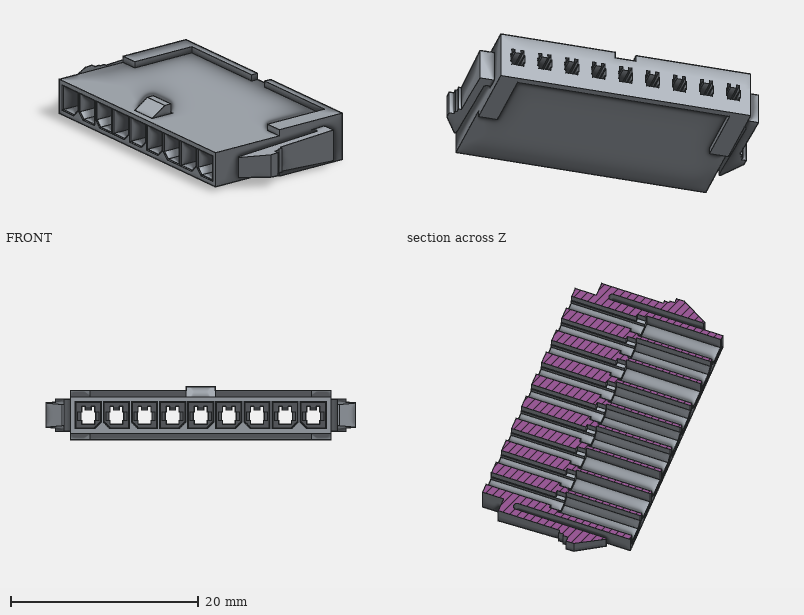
import cadquery as cq
import math


body_width = 27.8
body_length = 16.9
body_height = 3.9
front_y = -body_length / 2
rear_y = body_length / 2

rim_height = 0.7
rim_length = 8.4
rim_arm_width = 2.1
rim_back_thickness = 0.8
rim_gap_width = 2.3

tab_width = 3.1
tab_height = 1.1
tab_front_setback = 0.8
tab_rear_setback = 3.3
tab_flat_length = 0.8
tab_root_radius = 0.3

cavity_pitch = 3.0
cavity_width = 2.6
cavity_height = 2.7
cavity_depth = body_length - rim_length
key_bevel = 0.66
lead_in = 0.1
lead_in_angle = 45
key_sides = (1, -1, -1, 1, 1, 1, -1, 1, -1)

window_width = 1.35
window_height = 1.9
side_slot_width = 1.55
side_recess_width = 2.25
side_slot_height = 0.9
side_slot_center_z = -0.1
side_recess_depth = 1.0
tongue_width = 0.65
tongue_front_drop = 0.2
tongue_rear_drop = 0.4
tongue_step_depth = 1.0

arm_gap = 0.7
arm_outer = 1.6
arm_start_back = 2.4
slot_end_back = 3.75
arm_tip_back = 14.5
tip_bevel_rise = 0.12
tip_outer = 0.88
first_step_out = 1.9
first_step_back = 9.45
second_step_out = 2.1
second_step_back = 10.0
barb_out = 2.625
barb_back = 10.55
barb_flat_length = 0.9
arm_root_height = 3.5
arm_tip_height = 2.25


def box(x_min, x_max, y_min, y_max, z_min, z_max):
    """Box between two opposite corners."""
    size = (x_max - x_min, y_max - y_min, z_max - z_min)
    return cq.Workplane("XY").box(*size, centered=False).translate((x_min, y_min, z_min))


def centered_box(center_x, width, y_min, y_max, z_min, z_max):
    """Box centred on a given X position."""
    return box(center_x - width / 2, center_x + width / 2, y_min, y_max, z_min, z_max)


def make_body():
    """Main block with a U-shaped rim on the top and bottom faces."""
    half_width = body_width / 2
    half_height = body_height / 2
    rim_front_y = rear_y - rim_length
    rim_top = half_height + rim_height
    body = centered_box(0, body_width, front_y, rear_y, -half_height, half_height)
    rim = centered_box(0, body_width, rim_front_y, rear_y, -rim_top, rim_top)
    inner_width = body_width - 2 * rim_arm_width
    inner_rear_y = rear_y - rim_back_thickness
    rim = rim.cut(centered_box(0, inner_width, rim_front_y, inner_rear_y, -rim_top, rim_top))
    rim = rim.cut(centered_box(0, rim_gap_width, rim_front_y, rear_y, half_height, rim_top))
    return body.union(rim)


def make_tab():
    """Ramped locking tab with a concave fillet at the foot of its rear face."""
    base_z = body_height / 2
    top_z = base_z + tab_height
    tab_front_y = front_y + tab_front_setback
    tab_rear_y = front_y + tab_rear_setback
    arc_offset = tab_root_radius * (1 - math.sqrt(0.5))
    return (
        cq.Workplane("YZ")
        .moveTo(tab_front_y, base_z)
        .lineTo(tab_rear_y - tab_flat_length, top_z)
        .lineTo(tab_rear_y, top_z)
        .lineTo(tab_rear_y, base_z + tab_root_radius)
        .threePointArc(
            (tab_rear_y + arc_offset, base_z + arc_offset),
            (tab_rear_y + tab_root_radius, base_z),
        )
        .close()
        .extrude(tab_width / 2, both=True)
    )


def cavity_section(center_x, key_side, margin):
    """Cavity outline on the front face, grown by a margin, with one lower corner bevelled."""
    half_width = cavity_width / 2 + margin
    half_height = cavity_height / 2 + margin
    bevel = key_bevel + margin * (2 - math.sqrt(2))
    points = [
        (-half_width, half_height),
        (half_width, half_height),
        (half_width, bevel - half_height),
        (half_width - bevel, -half_height),
        (-half_width, -half_height),
    ]
    placed = [(center_x + key_side * x, z) for x, z in points]
    return cq.Workplane("XZ", origin=(0, front_y, 0)).polyline(placed).close()


def make_cavity(center_x, key_side):
    """Blind keyed cavity with a bevelled lead-in at its mouth."""
    cavity = cavity_section(center_x, key_side, 0).extrude(-cavity_depth)
    mouth = cavity_section(center_x, key_side, lead_in).extrude(-lead_in, taper=lead_in_angle)
    return cavity.union(mouth)


def make_window(center_x):
    """Terminal passage through the rear wall, with side recesses and a stepped tongue on top."""
    floor_y = front_y + cavity_depth
    top_z = window_height / 2
    slot_bottom = side_slot_center_z - side_slot_height / 2
    slot_top = side_slot_center_z + side_slot_height / 2
    recess_end_y = floor_y + side_recess_depth
    step_y = floor_y + tongue_step_depth
    window = centered_box(center_x, window_width, floor_y, rear_y, -top_z, top_z)
    window = window.union(centered_box(center_x, side_slot_width, floor_y, rear_y, slot_bottom, slot_top))
    window = window.union(
        centered_box(center_x, side_recess_width, floor_y, recess_end_y, slot_bottom, slot_top)
    )
    tongue_front_z = top_z - tongue_front_drop
    tongue_rear_z = top_z - tongue_rear_drop
    window = window.cut(centered_box(center_x, tongue_width, floor_y, step_y, tongue_front_z, top_z))
    return window.cut(centered_box(center_x, tongue_width, step_y, rear_y, tongue_rear_z, top_z))


def make_latch_arm():
    """Latch arm on the +X side: a stepped, barbed finger that gets thinner towards its tip."""
    side_x = body_width / 2

    def at(out, back):
        return (side_x + out, rear_y - back)

    slot_radius = arm_gap / 2
    plan = (
        cq.Workplane("XY")
        .moveTo(*at(0, arm_start_back))
        .lineTo(*at(arm_outer, arm_start_back))
        .lineTo(*at(arm_outer, first_step_back))
        .lineTo(*at(first_step_out, first_step_back))
        .lineTo(*at(first_step_out, second_step_back))
        .lineTo(*at(second_step_out, second_step_back))
        .lineTo(*at(second_step_out, barb_back))
        .lineTo(*at(barb_out, barb_back))
        .lineTo(*at(barb_out, barb_back + barb_flat_length))
        .lineTo(*at(tip_outer, arm_tip_back))
        .lineTo(*at(arm_gap, arm_tip_back - tip_bevel_rise))
        .lineTo(*at(arm_gap, slot_end_back + slot_radius))
        .threePointArc(at(slot_radius, slot_end_back), at(0, slot_end_back + slot_radius))
        .close()
        .extrude(arm_root_height / 2, both=True)
    )
    root_y = rear_y - arm_start_back
    tip_y = rear_y - arm_tip_back
    taper = (
        cq.Workplane("YZ", origin=(side_x, 0, 0))
        .moveTo(root_y, -arm_root_height / 2)
        .lineTo(root_y, arm_root_height / 2)
        .lineTo(tip_y, arm_tip_height / 2)
        .lineTo(tip_y, -arm_tip_height / 2)
        .close()
        .extrude(barb_out)
    )
    return plan.intersect(taper)


housing = make_body().union(make_tab())

row_middle = (len(key_sides) - 1) / 2
for index, key_side in enumerate(key_sides):
    center_x = (index - row_middle) * cavity_pitch
    housing = housing.cut(make_cavity(center_x, key_side))
    housing = housing.cut(make_window(center_x))

latch_arm = make_latch_arm()
result = housing.union(latch_arm).union(latch_arm.mirror("YZ"))